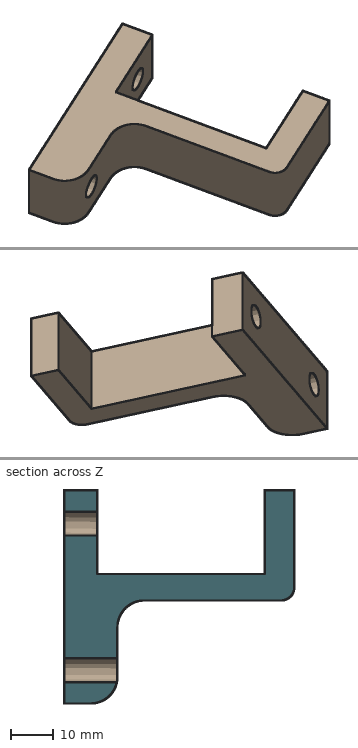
import cadquery as cq

length = 54.85
width = 50.8
height = 15.85

mount_wall = 7.95
end_wall = 7.1
web = 6.35
foot_thickness = 12.75
pocket_depth = 19.9

foot_radius = 6.35
end_radius = 3.2

hole_diameter = 5.65
hole_inset = 7.95

pocket_floor = width - pocket_depth
web_bottom = pocket_floor - web


def round_corner(body, x, y, radius):
    """Round the upright edge that stands at (x, y)."""
    reach = 0.05
    selector = cq.selectors.BoxSelector(
        (x - reach, y - reach, 0), (x + reach, y + reach, height)
    )
    return body.edges("|Z").edges(selector).fillet(radius)


bracket = (
    cq.Workplane("XY")
    .moveTo(0, 0)
    .lineTo(foot_thickness, 0)
    .lineTo(foot_thickness, web_bottom)
    .lineTo(length, web_bottom)
    .lineTo(length, width)
    .lineTo(length - end_wall, width)
    .lineTo(length - end_wall, pocket_floor)
    .lineTo(mount_wall, pocket_floor)
    .lineTo(mount_wall, width)
    .lineTo(0, width)
    .close()
    .extrude(height)
)

bracket = round_corner(bracket, foot_thickness, 0, foot_radius)
bracket = round_corner(bracket, foot_thickness, web_bottom, foot_radius)
bracket = round_corner(bracket, length, web_bottom, end_radius)

hole_cutters = (
    cq.Workplane("YZ")
    .pushPoints([(y, height / 2) for y in (hole_inset, width - hole_inset)])
    .circle(hole_diameter / 2)
    .extrude(foot_thickness)
)

result = bracket.cut(hole_cutters)